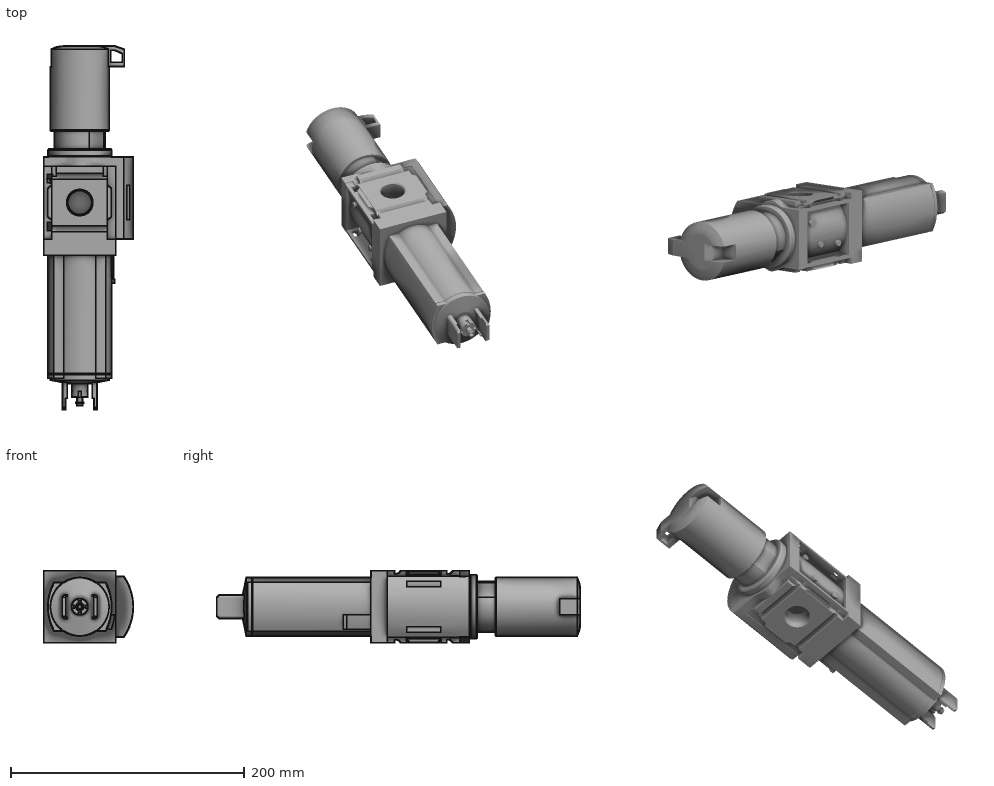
import cadquery as cq
import math


knob_top = 134.4
knob_shoulder = 131.6
knob_bottom = 61.4
collar_top = 46.0
body_top = 39.2
band_bottom = 31.0
frame_bottom = -31.3
body_bottom = -45.4
bowl_step = -151.0
bowl_end = -155.3
stem_end = -167.0
nipple_end = -174.3
overall_length = 312.04
wing_end = knob_top - overall_length

housing_half = 31.0
overall_width = 77.0
cover_right = overall_width - housing_half
shell_half = 26.0
strip_half = 25.5
cover_arc_x = 37.8
hump_half_width = 15.5
hump_height = housing_half - shell_half
hump_sample_count = 12
pad_left = -24.1
pad_right = 23.7
pad_corner_x = 20.3
pad_corner_y = 22.6
pad_corner_z = 26.8
groove_tops = (25.0, -19.8)
groove_width = 5.2
groove_depth = 2.6
port_diameter = 20.5
port_chamfer = 1.0
port_depth = 18.0

ledge_half_length = 15.0
ledge_reach = 3.4
ledge_taper = 2.8
ledge_bottom_z = 27.4
ledge_top_z = 30.3

window_top = 27.6
window_bottom = -28.0
window_half = 23.0
window_back = -19.6
barrel_diameter = 57.0
stud_diameter = 5.5
stud_face_x = -29.0
stud_places = ((17.7, 11.0), (6.3, -8.8), (-17.2, -11.0))
clip_left = -28.1
clip_right = -23.3
clip_length = 7.6
clip_centres = (20.6, -20.6)

slot_left = 40.4
slot_right = 43.2
slot_half_length = 14.7
slot_floor_z = 17.0

collar_diameter = 55.0
collar_chamfer = 1.0
collar_groove_width = 1.1
collar_groove_depth = 0.6
neck_diameter = 44.0
neck_flat_distance = 20.2

knob_diameter = 51.0
knob_chamfer = 1.0
knob_flat_radius = 15.0
lock_half_width = 7.0
lock_bottom = 116.6
lock_slot_end_x = -10.0
lock_slot_bevel = 5.0
loop_right = 38.2
loop_bend_x = 30.1
loop_hole_left = 26.7
loop_hole_right = 36.4
loop_hole_bottom = 120.6
loop_wall_top = 3.8

bowl_diameter = 50.36
bowl_half_width = 27.5
bowl_flat_half = 21.0
bowl_corner_x = 22.2
bowl_groove_y = -147.7
bowl_groove_width = 1.0
bowl_groove_depth = 0.5
cone_tip_radius = 10.5
cone_start = -152.3

catch_thickness = 2.0
catch_bottom = -69.2
catch_lip_length = 3.2
catch_lip_height = 1.0
catch_low_z = -19.5
catch_high_z = -7.0

stem_diameter = 14.0
stem_core_diameter = 10.0
stem_notch_width = 2.5
stem_notch_depth = 5.0
nipple_diameter = 5.0
nipple_bore = 3.8
barb_diameter = 6.6
barb_y = -172.3
barb_length = 0.8
wing_outer_x = 14.9
wing_thickness = 2.8
wing_half_height = 10.2
wing_lip_x = 10.7
wing_lip_thickness = 1.2
wing_lip_end = -168.0
wing_corner = 2.5
wing_end_chamfer = 2.2


def along_y(profile, y_from, y_to):
    """Extrude an (x, z) profile drawn on the XZ plane from y_from up to y_to."""
    return profile.extrude(y_from - y_to).translate((0, y_from, 0))


def xz():
    return cq.Workplane("XZ")


def cylinder(diameter, y_from, y_to):
    return along_y(xz().circle(diameter / 2), y_from, y_to)


def block(x0, x1, y0, y1, z0, z1):
    """Box between opposite corners."""
    return cq.Workplane("XY").box(x1 - x0, y1 - y0, z1 - z0, centered=False).translate((x0, y0, z0))


def both_sides(shape):
    """The shape together with its mirror image below the XY plane."""
    return shape.union(shape.mirror("XY"))


def band_surface_points(x_from, x_to):
    """Points from x_from to x_to on a flat at shell height with a cosine hump over the axis."""
    step = 2 * hump_half_width / hump_sample_count
    hump_xs = [-hump_half_width + i * step for i in range(hump_sample_count + 1)]
    points = [(x_from, shell_half), ((x_from - hump_half_width) / 2, shell_half)]
    for x in hump_xs:
        rise = hump_height / 2 * (1 + math.cos(math.pi * x / hump_half_width))
        points.append((x, shell_half + rise))
    points += [((hump_half_width + x_to) / 2, shell_half), (x_to, shell_half)]
    return points


def make_cover():
    """Humped band across the housing in one piece with the bulged cover on the +X side."""
    top = band_surface_points(-housing_half, cover_arc_x)
    bottom = [(x, -z) for x, z in reversed(top)]
    outline = (
        xz()
        .moveTo(*top[0])
        .spline(top[1:], includeCurrent=True)
        .threePointArc((cover_right, 0), bottom[0])
        .spline(bottom[1:], includeCurrent=True)
        .close()
    )
    cover = along_y(outline, frame_bottom, body_top)
    inside = block(-housing_half, housing_half, frame_bottom, band_bottom, -housing_half, housing_half)
    return cover.cut(inside)


def make_shell():
    """Lower block, side frame, top band and cover in one piece."""
    shell = block(-housing_half, housing_half, body_bottom, frame_bottom, -housing_half, housing_half)
    frame = block(-housing_half, housing_half, frame_bottom, band_bottom, -strip_half, strip_half)
    return shell.union(frame).union(make_cover())


def cut_cover_slots(shell):
    slot = block(slot_left, slot_right, -slot_half_length, slot_half_length, slot_floor_z, shell_half)
    return shell.cut(both_sides(slot))


def make_pad():
    """Raised port pad with stepped corners, cross grooves and side ledges."""
    pad = block(pad_left, pad_right, frame_bottom, band_bottom, 0, housing_half)
    for x_from, x_to in ((pad_left, -pad_corner_x), (pad_corner_x, pad_right)):
        pad = pad.cut(block(x_from, x_to, pad_corner_y, band_bottom, pad_corner_z, housing_half))
    for top in groove_tops:
        floor_z = housing_half - groove_depth
        bottom = top - groove_width
        groove = (
            cq.Workplane("YZ")
            .moveTo(top, housing_half)
            .threePointArc((top - groove_width / 3, floor_z + groove_depth / 4), (bottom, floor_z))
            .lineTo(bottom, housing_half)
            .close()
            .extrude(pad_right - pad_left)
            .translate((pad_left, 0, 0))
        )
        pad = pad.cut(groove)
    return pad.union(make_ledge(pad_left, -1)).union(make_ledge(pad_right, 1))


def make_ledge(wall_x, direction):
    """Tapered ledge on a pad wall, with its underside sloping back to the wall."""
    tip_x = wall_x + direction * ledge_reach
    short_half = ledge_half_length - ledge_taper
    plan = (
        cq.Workplane("XY")
        .polyline([
            (wall_x, -ledge_half_length),
            (tip_x, -short_half),
            (tip_x, short_half),
            (wall_x, ledge_half_length),
        ])
        .close()
        .extrude(ledge_top_z)
    )
    wedge = xz().polyline([(wall_x, ledge_bottom_z), (tip_x, ledge_top_z), (wall_x, ledge_top_z)]).close()
    return plan.intersect(along_y(wedge, -ledge_half_length, ledge_half_length))


def make_port_cutter():
    port = cq.Workplane("XY").workplane(offset=housing_half - port_depth).circle(port_diameter / 2)
    rim = (
        cq.Workplane("XY")
        .workplane(offset=housing_half - port_chamfer)
        .circle(port_diameter / 2)
        .workplane(offset=port_chamfer)
        .circle(port_diameter / 2 + port_chamfer)
        .loft()
    )
    return port.extrude(port_depth).union(rim)


def cut_window(housing):
    """Open the -X side around the inner barrel, leaving three studs and four clip slots."""
    window = block(-housing_half, window_back, window_bottom, window_top, -window_half, window_half)
    window = window.cut(cylinder(barrel_diameter, window_bottom, window_top))
    for y, z in stud_places:
        stud = cq.Workplane("YZ").center(y, z).circle(stud_diameter / 2)
        window = window.cut(stud.extrude(window_back - stud_face_x).translate((stud_face_x, 0, 0)))
    housing = housing.cut(window)
    for y in clip_centres:
        y0 = y - clip_length / 2
        clip = block(clip_left, clip_right, y0, y0 + clip_length, window_half, ledge_bottom_z)
        housing = housing.cut(both_sides(clip))
    return housing


def make_neck():
    """Collar and flatted neck that carry the knob."""
    collar = cylinder(collar_diameter, body_top, collar_top).faces(">Y").chamfer(collar_chamfer)
    relief = cylinder(collar_diameter, body_top, body_top + collar_groove_width)
    collar = collar.cut(
        relief.cut(
            cylinder(collar_diameter - 2 * collar_groove_depth, body_top, body_top + collar_groove_width)
        )
    )
    flats = xz().rect(2 * neck_flat_distance, neck_diameter)
    flats = along_y(flats, collar_top, knob_bottom).rotate((0, 0, 0), (0, 1, 0), -45)
    return collar.union(cylinder(neck_diameter, collar_top, knob_bottom).intersect(flats))


def make_housing():
    housing = cut_cover_slots(make_shell())
    housing = housing.union(both_sides(make_pad())).cut(both_sides(make_port_cutter()))
    return cut_window(housing).union(make_neck())


def make_knob():
    """Domed knob with a lock slot at -X and a padlock loop at +X."""
    radius = knob_diameter / 2
    dome_mid = ((knob_flat_radius + radius) / 2, (3 * knob_top + knob_shoulder) / 4)
    knob = (
        cq.Workplane("XY")
        .moveTo(0, knob_bottom)
        .lineTo(radius - knob_chamfer, knob_bottom)
        .lineTo(radius, knob_bottom + knob_chamfer)
        .lineTo(radius, knob_shoulder)
        .threePointArc(dome_mid, (knob_flat_radius, knob_top))
        .lineTo(0, knob_top)
        .close()
        .revolve(360, (0, 0, 0), (0, 1, 0))
    )
    loop = (
        cq.Workplane("XY")
        .moveTo(0, lock_bottom)
        .lineTo(loop_right, lock_bottom)
        .lineTo(loop_right, knob_shoulder)
        .lineTo(loop_bend_x, knob_top)
        .lineTo(0, knob_top)
        .close()
        .extrude(lock_half_width, both=True)
    )
    eye = (
        cq.Workplane("XY")
        .moveTo(loop_hole_left, loop_hole_bottom)
        .lineTo(loop_hole_right, loop_hole_bottom)
        .lineTo(loop_hole_right, knob_shoulder - loop_wall_top)
        .lineTo(loop_bend_x, knob_top - loop_wall_top)
        .lineTo(loop_hole_left, knob_top - loop_wall_top)
        .close()
        .extrude(lock_half_width, both=True)
    )
    slot = (
        cq.Workplane("XY")
        .moveTo(-radius, lock_bottom)
        .lineTo(lock_slot_end_x, lock_bottom)
        .lineTo(lock_slot_end_x, knob_shoulder)
        .lineTo(lock_slot_end_x + lock_slot_bevel, knob_top)
        .lineTo(-radius, knob_top)
        .close()
        .extrude(lock_half_width, both=True)
    )
    return knob.union(loop).cut(eye).cut(slot)


def bowl_outline(inset):
    """Flat-sided outline with a shallow arc at each end, shrunk by the inset."""
    corner_x = bowl_corner_x - inset
    flat = bowl_flat_half - inset
    tip_x = bowl_half_width - inset
    return (
        xz()
        .moveTo(-corner_x, flat)
        .lineTo(corner_x, flat)
        .threePointArc((tip_x, 0), (corner_x, -flat))
        .lineTo(-corner_x, -flat)
        .threePointArc((-tip_x, 0), (-corner_x, flat))
        .close()
    )


def bowl_prism(inset, y_from, y_to):
    shape = along_y(bowl_outline(inset), y_from, y_to)
    return shape.union(cylinder(bowl_diameter - 2 * inset, y_from, y_to))


def make_catch():
    """Release catch: a curved strip on the +X arc of the bowl, ending in a lip."""
    lip_top = catch_bottom + catch_lip_length
    reach = catch_thickness + catch_lip_height
    strip = along_y(bowl_outline(-catch_thickness), lip_top, body_bottom)
    lip = along_y(bowl_outline(-reach), catch_bottom, lip_top)
    zone = block(0, cover_right, catch_bottom, body_bottom, catch_low_z, catch_high_z)
    return strip.union(lip).intersect(zone)


def make_stem():
    """Drain stem with four notches in its rim and a bored, barbed nipple."""
    stem = cylinder(stem_diameter, stem_end, bowl_end)
    notch_top = stem_end + stem_notch_depth
    half = stem_notch_width / 2
    reach = stem_diameter / 2
    notches = block(-reach, reach, stem_end, notch_top, -half, half)
    notches = notches.union(block(-half, half, stem_end, notch_top, -reach, reach))
    stem = stem.cut(notches.cut(cylinder(stem_core_diameter, stem_end, notch_top)))
    stem = stem.union(cylinder(nipple_diameter, nipple_end, stem_end))
    stem = stem.union(cylinder(barb_diameter, barb_y, barb_y + barb_length))
    return stem.cut(cylinder(nipple_bore, nipple_end, stem_end))


def make_wing():
    """Guard wing on the +X side of the stem, with a short lip along each edge of its inner face."""
    inner_x = wing_outer_x - wing_thickness
    wing = block(inner_x, wing_outer_x, wing_end, bowl_step, -wing_half_height, wing_half_height)
    wing = wing.edges("<Y and |X").chamfer(wing_end_chamfer)
    wing = wing.edges("|Y and >X").fillet(wing_corner)
    for low_z in (-wing_half_height, wing_half_height - wing_lip_thickness):
        top_z = low_z + wing_lip_thickness
        wing = wing.union(block(wing_lip_x, inner_x, wing_lip_end, bowl_step, low_z, top_z))
    return wing


def make_bowl():
    bowl = bowl_prism(0, bowl_step, body_bottom)
    groove_top = bowl_groove_y + bowl_groove_width
    groove = bowl_prism(0, bowl_groove_y, groove_top).cut(
        bowl_prism(bowl_groove_depth, bowl_groove_y, groove_top)
    )
    cap = (
        cq.Workplane("XY")
        .polyline([
            (0, bowl_step),
            (bowl_diameter / 2, bowl_step),
            (bowl_diameter / 2, cone_start),
            (cone_tip_radius, bowl_end),
            (0, bowl_end),
        ])
        .close()
        .revolve(360, (0, 0, 0), (0, 1, 0))
    )
    wing = make_wing()
    bowl = bowl.cut(groove).union(cap).union(make_catch()).union(make_stem())
    return bowl.union(wing).union(wing.mirror("YZ"))


housing = make_housing()
knob = make_knob()
bowl = make_bowl()

result = cq.Compound.makeCompound([housing.val(), knob.val(), bowl.val()])